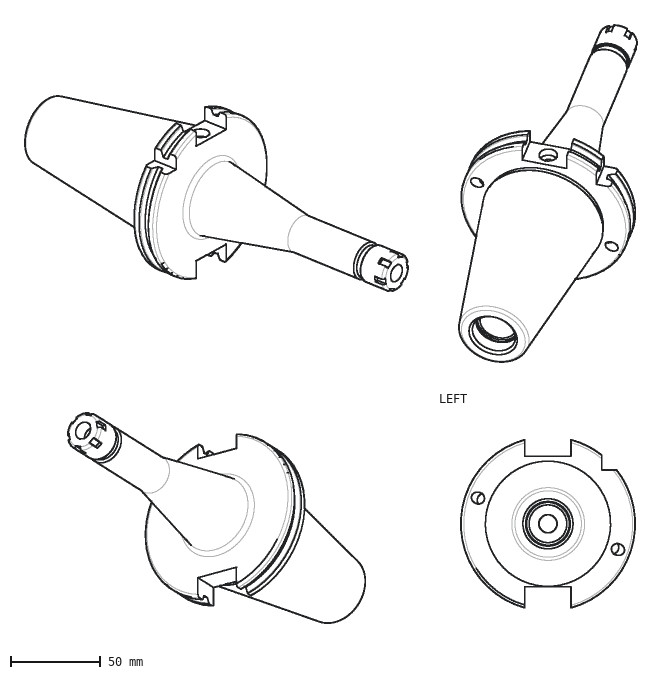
import cadquery as cq
import math

length = 257.0
gauge_line_x = 101.8
flange_back_x = 104.8
flange_front_x = 120.8
neck_cone_end_x = 186.3
shank_end_x = 234.9
nut_back_x = 239.5

taper_ratio = 7 / 24
gauge_diameter = 70.0
small_diameter = gauge_diameter - taper_ratio * gauge_line_x
taper_end_fillet = 1.8
relief_diameter = 68.3
relief_flank = 0.8

flange_diameter = 97.5
flange_rim_fillet = 1.5
groove_x = 112.8
groove_floor_width = 3.0
groove_top_width = 6.0
groove_depth = 3.0
groove_edge_width = 0.5
groove_edge_depth = 0.5

drive_slot_width = 25.7
top_slot_floor_z = 37.8
bottom_slot_floor_z = -35.2
notch_offset = 30.0

chip_hole_diameter = 10.0
chip_hole_depth = 4.5
chip_pilot_diameter = 3.5
chip_pilot_depth = 2.5

coolant_hole_diameter = 6.5
coolant_hole_radius = 41.5
coolant_hole_angle = 20.2
coolant_hole_tilt = 30.0
coolant_hole_depth = 5.1

neck_diameter = 44.2
neck_fillet = 2.5
shank_diameter = 22.0
spigot_diameter = 19.5
shank_chamfer = (shank_diameter - spigot_diameter) / 2
spigot_end_x = 248.0

through_diameter = 10.0
pilot_bore_diameter = 25.0
pilot_bore_depth = 8.7
pilot_chamfer = 1.5
thread_diameter = 24.0
thread_depth = 10.3
core_diameter = 21.0
core_depth = 46.3
drill_point_half_angle = 59.0

nut_diameter = shank_diameter
nut_end_fillet = 1.5
nut_back_chamfer = 0.5
wrench_slot_count = 6
wrench_slot_width = 3.5
wrench_slot_length = 6.5
wrench_slot_floor_radius = 9.3
nut_turn = -22.0


def revolve_about_x(profile):
    return profile.close().revolve(360, (0, 0, 0), (1, 0, 0))


def holder_blank():
    """Taper, neck, shank and spigot, without the flange."""
    blank = revolve_about_x(
        cq.Workplane("XZ")
        .lineTo(0, small_diameter / 2)
        .lineTo(gauge_line_x, gauge_diameter / 2)
        .lineTo(gauge_line_x + relief_flank, relief_diameter / 2)
        .lineTo(flange_front_x, relief_diameter / 2)
        .lineTo(flange_front_x, neck_diameter / 2 + neck_fillet)
        .radiusArc((flange_front_x + neck_fillet, neck_diameter / 2), -neck_fillet)
        .lineTo(neck_cone_end_x, shank_diameter / 2)
        .lineTo(shank_end_x, shank_diameter / 2)
        .lineTo(shank_end_x + shank_chamfer, spigot_diameter / 2)
        .lineTo(spigot_end_x, spigot_diameter / 2)
        .lineTo(spigot_end_x, 0)
    )
    return blank.faces("<X").edges().fillet(taper_end_fillet)


def flange():
    """Disc with rounded rims and a V-shaped gripper groove."""
    rim = flange_diameter / 2
    groove_floor = rim - groove_depth
    groove_mouth = rim - groove_edge_depth
    half_floor = groove_floor_width / 2
    half_mouth = groove_top_width / 2
    half_edge = half_mouth + groove_edge_width
    return revolve_about_x(
        cq.Workplane("XZ")
        .moveTo(flange_back_x, 0)
        .lineTo(flange_back_x, rim - flange_rim_fillet)
        .radiusArc((flange_back_x + flange_rim_fillet, rim), flange_rim_fillet)
        .lineTo(groove_x - half_edge, rim)
        .lineTo(groove_x - half_mouth, groove_mouth)
        .lineTo(groove_x - half_floor, groove_floor)
        .lineTo(groove_x + half_floor, groove_floor)
        .lineTo(groove_x + half_mouth, groove_mouth)
        .lineTo(groove_x + half_edge, rim)
        .lineTo(flange_front_x - flange_rim_fillet, rim)
        .radiusArc((flange_front_x, rim - flange_rim_fillet), flange_rim_fillet)
        .lineTo(flange_front_x, 0)
    )


def flange_cutter(corner_a, corner_b):
    """Block through the flange thickness between two opposite (Y, Z) corners."""
    (y_a, z_a), (y_b, z_b) = corner_a, corner_b
    return (
        cq.Workplane("YZ", origin=(flange_back_x, 0, 0))
        .center((y_a + y_b) / 2, (z_a + z_b) / 2)
        .rect(abs(y_b - y_a), abs(z_b - z_a))
        .extrude(flange_front_x - flange_back_x)
    )


def cut_flange_slots(body):
    half_slot = drive_slot_width / 2
    top_slot = flange_cutter((-half_slot, top_slot_floor_z), (half_slot, flange_diameter))
    bottom_slot = flange_cutter((-half_slot, -flange_diameter), (half_slot, bottom_slot_floor_z))
    notch = flange_cutter((-flange_diameter, notch_offset), (-notch_offset, flange_diameter))
    return body.cut(top_slot).cut(bottom_slot).cut(notch)


def cut_chip_hole(body):
    slot_floor = cq.Workplane("XY", origin=(groove_x, 0, top_slot_floor_z))
    hole = slot_floor.circle(chip_hole_diameter / 2).extrude(-chip_hole_depth)
    pilot = slot_floor.circle(chip_pilot_diameter / 2).extrude(-chip_hole_depth - chip_pilot_depth)
    return body.cut(hole).cut(pilot)


def cut_coolant_holes(body):
    """Two opposite blind holes, each leaning toward the axis as it goes in."""
    overrun = coolant_hole_diameter
    cutter = (
        cq.Workplane("YZ", origin=(-overrun, 0, 0))
        .circle(coolant_hole_diameter / 2)
        .extrude(overrun + coolant_hole_depth)
        .rotate((0, 0, 0), (0, 0, 1), -coolant_hole_tilt)
        .translate((flange_back_x, coolant_hole_radius, 0))
    )
    for angle in (coolant_hole_angle, coolant_hole_angle + 180):
        body = body.cut(cutter.rotate((0, 0, 0), (1, 0, 0), angle))
    return body


def cut_bore(body):
    """Pilot bore, thread and core, closing in a drill point onto the through hole."""
    point_height = (core_diameter - through_diameter) / 2
    point_length = point_height / math.tan(math.radians(drill_point_half_angle))
    bore = revolve_about_x(
        cq.Workplane("XZ")
        .lineTo(0, pilot_bore_diameter / 2 + pilot_chamfer)
        .lineTo(pilot_chamfer, pilot_bore_diameter / 2)
        .lineTo(pilot_bore_depth, pilot_bore_diameter / 2)
        .lineTo(pilot_bore_depth, thread_diameter / 2)
        .lineTo(thread_depth, thread_diameter / 2)
        .lineTo(thread_depth, core_diameter / 2)
        .lineTo(core_depth, core_diameter / 2)
        .lineTo(core_depth + point_length, through_diameter / 2)
        .lineTo(spigot_end_x, through_diameter / 2)
        .lineTo(spigot_end_x, 0)
    )
    return body.cut(bore)


def make_holder():
    body = holder_blank().union(flange())
    body = cut_flange_slots(body)
    body = cut_chip_hole(body)
    body = cut_coolant_holes(body)
    return cut_bore(body)


def make_nut():
    """Clamping nut over the spigot, with open wrench slots around its front end."""
    nut = revolve_about_x(
        cq.Workplane("XZ")
        .moveTo(nut_back_x, spigot_diameter / 2)
        .lineTo(nut_back_x, nut_diameter / 2 - nut_back_chamfer)
        .lineTo(nut_back_x + nut_back_chamfer, nut_diameter / 2)
        .lineTo(length - nut_end_fillet, nut_diameter / 2)
        .radiusArc((length, nut_diameter / 2 - nut_end_fillet), nut_end_fillet)
        .lineTo(length, through_diameter / 2)
        .lineTo(spigot_end_x, through_diameter / 2)
        .lineTo(spigot_end_x, spigot_diameter / 2)
    )
    slot_cutter = (
        cq.Workplane("XY", origin=(length, 0, wrench_slot_floor_radius))
        .rect(2 * wrench_slot_length, wrench_slot_width)
        .extrude(nut_diameter)
    )
    for index in range(wrench_slot_count):
        turn = index * 360 / wrench_slot_count
        nut = nut.cut(slot_cutter.rotate((0, 0, 0), (1, 0, 0), turn))
    return nut.rotate((0, 0, 0), (1, 0, 0), nut_turn)


holder = make_holder()
nut = make_nut()

result = cq.Compound.makeCompound([holder.val(), nut.val()])